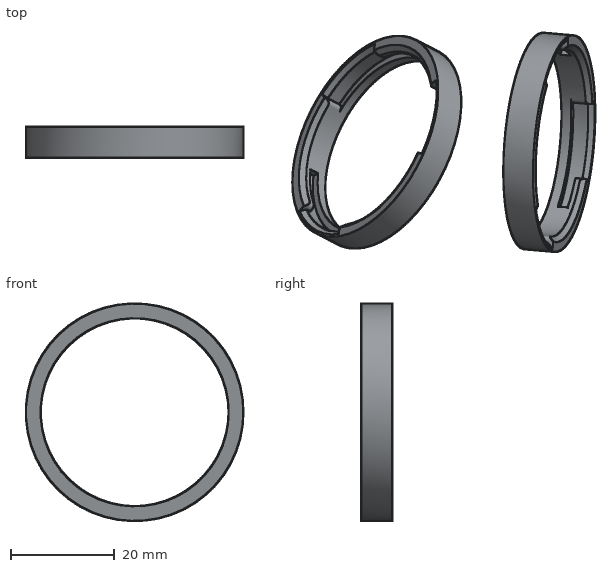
import cadquery as cq
import math

OUTER_RADIUS = 21.0
BORE_RADIUS = 18.1
RING_WIDTH = 6.0
FRONT_Y = -RING_WIDTH / 2
BACK_Y = RING_WIDTH / 2
BACK_CHAMFER = 1.0

RECESS_RADIUS = 19.5
SHOULDER_WIDTH = 2.0
RECESS_FRONT_Y = FRONT_Y + SHOULDER_WIDTH
GROOVE_WIDTH = 2.0
LIP_FRONT_Y = RECESS_FRONT_Y + GROOVE_WIDTH
CUTTER_OVERLAP = 1.0
CUTTER_INNER_RADIUS = BORE_RADIUS - CUTTER_OVERLAP
SLOT_CORNER_FILLET = 1.0

SLOT_SPAN = 45.0
FIRST_SLOT_START = -67.5
LIP_SPANS = (30.0, 30.0, 22.5)
SLOT_PITCH = 360.0 / len(LIP_SPANS)
SLOT_STARTS = [FIRST_SLOT_START + i * SLOT_PITCH for i in range(len(LIP_SPANS))]


def revolve_section(points, start_angle=0.0, span=360.0):
    """Revolve a closed (radius, y) outline about Y, from start_angle through span."""
    section = cq.Workplane("XY").polyline(points).close()
    solid = section.revolve(span, (0, 0, 0), (0, -1, 0))
    return solid.rotate((0, 0, 0), (0, -1, 0), start_angle)


def recess_cutter(back_y, start_angle, span):
    """Sector of the recess, from its front shoulder back to back_y."""
    outline = [
        (CUTTER_INNER_RADIUS, RECESS_FRONT_Y),
        (RECESS_RADIUS, RECESS_FRONT_Y),
        (RECESS_RADIUS, back_y),
        (CUTTER_INNER_RADIUS, back_y),
    ]
    return revolve_section(outline, start_angle, span)


def chamfer_cutter(radius, start_angle=0.0, span=360.0):
    """Cone that chamfers the back edge of an inner wall of the given radius."""
    outline = [
        (CUTTER_INNER_RADIUS, BACK_Y - BACK_CHAMFER),
        (radius, BACK_Y - BACK_CHAMFER),
        (radius + BACK_CHAMFER, BACK_Y),
        (CUTTER_INNER_RADIUS, BACK_Y),
    ]
    return revolve_section(outline, start_angle, span)


def slot_corner(angle, front_y):
    """Selector for the edge where a slot's end wall meets the bore."""
    x = BORE_RADIUS * math.cos(math.radians(angle))
    z = BORE_RADIUS * math.sin(math.radians(angle))
    return cq.selectors.NearestToPointSelector((x, (front_y + BACK_Y) / 2, z))


def make_ring():
    outline = [
        (BORE_RADIUS, FRONT_Y),
        (OUTER_RADIUS, FRONT_Y),
        (OUTER_RADIUS, BACK_Y),
        (BORE_RADIUS, BACK_Y),
    ]
    return revolve_section(outline)


def cut_bayonet(ring, slot_start, lip_span):
    """Cut one entry slot and its groove, and round the slot's two bore corners."""
    slot_end = slot_start + SLOT_SPAN
    ring = ring.cut(recess_cutter(LIP_FRONT_Y, slot_start, SLOT_SPAN + lip_span))
    ring = ring.cut(recess_cutter(BACK_Y, slot_start, SLOT_SPAN))
    ring = ring.edges(slot_corner(slot_start, RECESS_FRONT_Y)).fillet(SLOT_CORNER_FILLET)
    return ring.edges(slot_corner(slot_end, LIP_FRONT_Y)).fillet(SLOT_CORNER_FILLET)


def chamfer_back(ring):
    """Chamfer the back edge of the bore and of each entry slot."""
    ring = ring.cut(chamfer_cutter(BORE_RADIUS))
    for slot_start in SLOT_STARTS:
        ring = ring.cut(chamfer_cutter(RECESS_RADIUS, slot_start, SLOT_SPAN))
    return ring


result = make_ring()
for slot_start, lip_span in zip(SLOT_STARTS, LIP_SPANS):
    result = cut_bayonet(result, slot_start, lip_span)
result = chamfer_back(result)